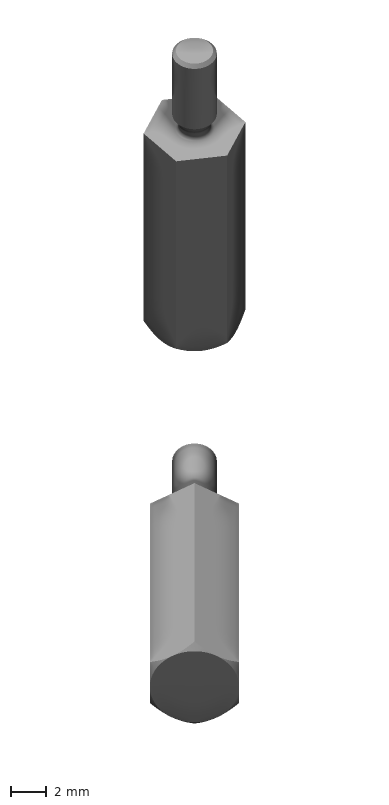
import cadquery as cq
import math

total_height = 21.0
body_height = 15.0
across_flats = 5.0
across_corners = across_flats / math.cos(math.radians(30))

chamfer_base_diameter = across_flats
chamfer_height = (across_corners - chamfer_base_diameter) / 2

stud_diameter = 2.5
tip_chamfer = 0.2

neck_diameter = 1.8
neck_height = 0.5
shank_start = 1.1
neck_fillet = 0.2
edge_margin = 0.02


def hexagonal_body():
    prism = cq.Workplane("XY").polygon(6, across_corners).extrude(body_height)
    base_radius = chamfer_base_diameter / 2
    corner_radius = across_corners / 2
    envelope = (
        cq.Workplane("XZ")
        .lineTo(base_radius, 0)
        .lineTo(corner_radius, chamfer_height)
        .lineTo(corner_radius, body_height)
        .lineTo(0, body_height)
        .close()
        .revolve(360, (0, 0), (0, 1))
    )
    return prism.intersect(envelope)


def stud():
    neck_radius = neck_diameter / 2
    stud_radius = stud_diameter / 2
    return (
        cq.Workplane("XZ")
        .moveTo(0, body_height)
        .lineTo(neck_radius, body_height)
        .lineTo(neck_radius, body_height + neck_height)
        .lineTo(stud_radius, body_height + shank_start)
        .lineTo(stud_radius, total_height - tip_chamfer)
        .lineTo(stud_radius - tip_chamfer, total_height)
        .lineTo(0, total_height)
        .close()
        .revolve(360, (0, 0), (0, 1))
    )


def fillet_neck(part):
    """Round the concave edges at both ends of the neck."""
    middle = body_height + neck_height / 2
    reach = across_corners / 2
    half_span = neck_height / 2 + edge_margin
    neck_box = cq.selectors.BoxSelector(
        (-reach, -reach, middle - half_span),
        (reach, reach, middle + half_span),
    )
    return part.edges("%CIRCLE").edges(neck_box).fillet(neck_fillet)


result = fillet_neck(hexagonal_body().union(stud()))